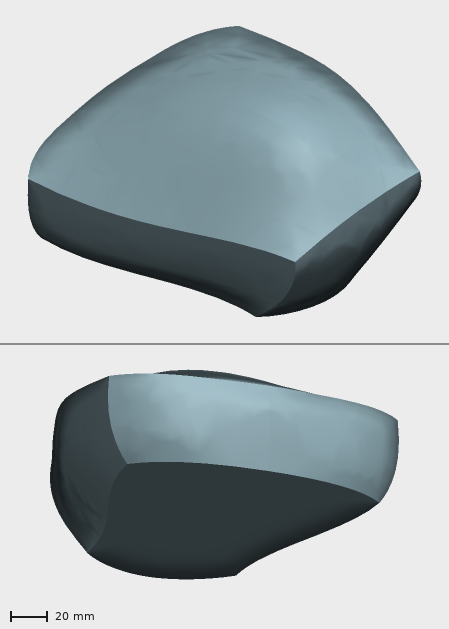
import cadquery as cq


NOSE_X = 3.8
NOSE_CORNER_X = 23.9
NOSE_TOP_Z = 50.0
TAIL_X = 188.7
CREST_X = 131.1
CREST_Z = 97.9

nose_top = (NOSE_X, 0, NOSE_TOP_Z)
nose_bottom = (NOSE_X, 0, 0)
nose_corner_top = (NOSE_CORNER_X, 85.3, NOSE_TOP_Z)
nose_corner_bottom = (NOSE_CORNER_X, 74.5, 0)
tail_top = (TAIL_X, 0, 68.8)
tail_bottom = (174.0, 0, 0)
tail_corner_top = (TAIL_X, 50.5, 65.0)
tail_corner_bottom = (153.9, 44.0, 0)

ridge_points = [(53.0, 0, 74.7), (90.8, 0, 89.8), (CREST_X, 0, CREST_Z), (158.0, 0, 90.0),
                (174.0, 0, 79.7)]
crest_flank_points = [(CREST_X, 24.8, 91.8), (CREST_X, 47.8, 79.7)]
nose_middle_points = [(0.5, 0, 39.2), (0, 0, 30.5), (1.5, 0, 15.3)]
nose_flank_points = [(2.7, 32.5, 30.5), (8.5, 60.0, 30.5), (15.1, 74.5, 30.5)]
tail_middle_points = [(191.0, 0, 55.5), (190.8, 0, 45.0), (186.2, 0, 27.5)]
side_points = [(61.2, 86.2, 38.2), (114.7, 75.3, 38.2)]


def mirrored(point):
    x, y, z = point
    return (x, -y, z)


def mirrored_all(points):
    return [mirrored(point) for point in points]


def curve(points):
    return cq.Edge.makeSpline([cq.Vector(*point) for point in points])


def curve_pair(points):
    """The curve on the +Y side and its twin on the -Y side."""
    return [curve(points), curve(mirrored_all(points))]


def curve_across(half_points):
    """One curve through the midplane, from its midplane point out to both sides."""
    return curve(mirrored_all(half_points[:0:-1]) + half_points)


def patch(edges, inner_points):
    return cq.Face.makeNSidedSurface(edges, [cq.Vector(*point) for point in inner_points])


nose_top_edge = curve_across([nose_top, (5.7, 32.5, NOSE_TOP_Z), (10.1, 60.0, NOSE_TOP_Z),
                              (16.0, 74.5, NOSE_TOP_Z), nose_corner_top])
nose_bottom_edge = curve_across([nose_bottom, (6.5, 34.5, 0), (14.0, 59.3, 0), nose_corner_bottom])
nose_corner_edges = curve_pair([nose_corner_top, (NOSE_CORNER_X, 86.0, 38.2),
                                (NOSE_CORNER_X, 82.5, 15.3), nose_corner_bottom])

tail_top_edge = curve_across([tail_top, (TAIL_X, 26.8, 67.7), tail_corner_top])
tail_bottom_edge = curve_across([tail_bottom, (168.5, 23.0, 0), tail_corner_bottom])
tail_corner_edges = curve_pair([tail_corner_top, (189.0, 51.2, 55.5), (182.2, 50.8, 36.9),
                                (170.1, 48.2, 19.1), tail_corner_bottom])

shoulder_edges = curve_pair([nose_corner_top, (61.7, 86.0, 56.5), (96.5, 82.2, 62.3),
                             (128.8, 73.0, 66.0), (161.1, 60.5, 67.5), tail_corner_top])
side_bottom_edges = curve_pair([nose_corner_bottom, (44.0, 72.6, 0), (66.3, 66.9, 0),
                                (98.5, 55.2, 0), tail_corner_bottom])

top = patch([nose_top_edge, shoulder_edges[0], tail_top_edge, shoulder_edges[1]],
            ridge_points + crest_flank_points + mirrored_all(crest_flank_points))
nose = patch([nose_top_edge, nose_corner_edges[0], nose_bottom_edge, nose_corner_edges[1]],
             nose_middle_points + nose_flank_points + mirrored_all(nose_flank_points))
tail = patch([tail_top_edge, tail_corner_edges[0], tail_bottom_edge, tail_corner_edges[1]],
             tail_middle_points)
sides = [
    patch([shoulder_edges[i], tail_corner_edges[i], side_bottom_edges[i], nose_corner_edges[i]],
          inner_points)
    for i, inner_points in enumerate([side_points, mirrored_all(side_points)])
]
base = cq.Face.makeFromWires(cq.Wire.assembleEdges(
    [nose_bottom_edge, side_bottom_edges[0], tail_bottom_edge, side_bottom_edges[1]]))

body = cq.Solid.makeSolid(cq.Shell.makeShell([top, nose, tail, base] + sides))

SPLIT_BOX = 573.5
right_half_space = cq.Workplane("XY").box(
    SPLIT_BOX, SPLIT_BOX, SPLIT_BOX, centered=(True, False, True))
left_half = cq.Workplane("XY").add(body).cut(right_half_space)
right_half = cq.Workplane("XY").add(body).intersect(right_half_space)
result = left_half.union(right_half, clean=False)